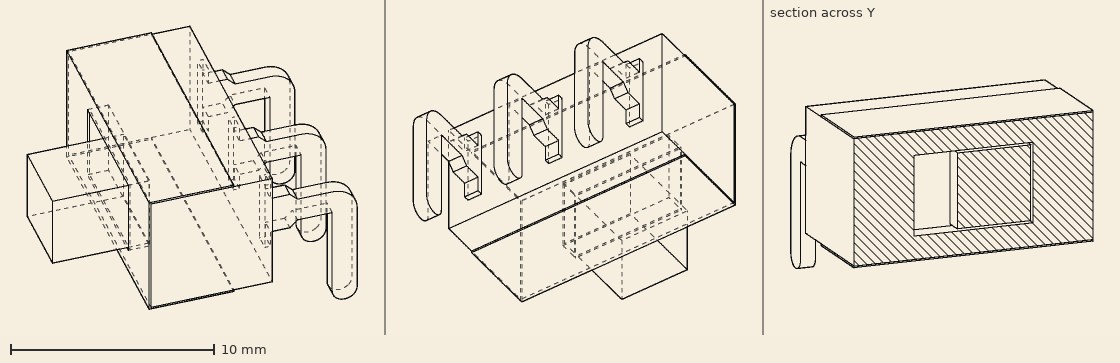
import cadquery as cq


cover_length = 12.7
cover_height = 6.7
cover_depth = 4.4
cover_thickness = 0.1

base_height = cover_height - 2 * cover_thickness
base_depth = 6.3
base_front = cover_thickness
base_back = base_front + base_depth

slider_side = 3.9
slider_protrusion = 3.9
slider_clearance = 0.1

slot_length = 6.3
slot_height = slider_side + 2 * slider_clearance
slot_depth_in_base = 1.0
slot_floor = base_front + slot_depth_in_base
slider_center_x = slot_length / 2 - slider_clearance - slider_side / 2

terminal_count = 3
terminal_pitch = 4.8
terminal_width = 0.8
shoulder_height = slider_side
shoulder_depth = 0.3
neck_height = 2.1
neck_depth = 1.0
leg_thickness = 1.3
taper_depth = (neck_height - leg_thickness) / 2
terminal_reach = 4.8
leg_drop = 2.9

shoulder_back = base_back + shoulder_depth
neck_back = shoulder_back + neck_depth
taper_back = neck_back + taper_depth
leg_outer = base_back + terminal_reach
leg_inner = leg_outer - leg_thickness
leg_bottom = -cover_height / 2 - leg_drop
leg_end_radius = leg_thickness / 2


def block(length, height, front, back, center_x=0):
    """Box centred on Z = 0 that runs from front to back along Y."""
    return (
        cq.Workplane("XY")
        .box(length, back - front, height)
        .translate((center_x, (front + back) / 2, 0))
    )


def make_cover():
    sheet = block(cover_length, cover_height, 0, cover_depth)
    base_space = block(cover_length, base_height, base_front, cover_depth)
    opening = block(slot_length, slot_height, 0, base_front)
    return sheet.cut(base_space).cut(opening)


def make_base_with_slider():
    base = block(cover_length, base_height, base_front, base_back)
    slot = block(slot_length, slot_height, base_front, slot_floor)
    slider = block(slider_side, slider_side, -slider_protrusion, slot_floor, slider_center_x)
    return base.cut(slot).union(slider)


def make_terminal(center_x):
    half_shoulder = shoulder_height / 2
    half_neck = neck_height / 2
    half_leg = leg_thickness / 2
    leg_end_center = leg_bottom + leg_end_radius
    bend_radius = leg_thickness
    profile = (
        cq.Workplane("YZ")
        .moveTo(base_back, half_shoulder)
        .lineTo(shoulder_back, half_shoulder)
        .lineTo(shoulder_back, half_neck)
        .lineTo(neck_back, half_neck)
        .lineTo(taper_back, half_leg)
        .lineTo(leg_inner, half_leg)
        .radiusArc((leg_outer, half_leg - bend_radius), bend_radius)
        .lineTo(leg_outer, leg_end_center)
        .threePointArc((leg_outer - leg_end_radius, leg_bottom), (leg_inner, leg_end_center))
        .lineTo(leg_inner, -half_leg)
        .lineTo(taper_back, -half_leg)
        .lineTo(neck_back, -half_neck)
        .lineTo(shoulder_back, -half_neck)
        .lineTo(shoulder_back, -half_shoulder)
        .lineTo(base_back, -half_shoulder)
        .close()
    )
    return profile.extrude(terminal_width / 2, both=True).translate((center_x, 0, 0))


cover = make_cover()
base_with_slider = make_base_with_slider()
terminals = [
    make_terminal((index - (terminal_count - 1) / 2) * terminal_pitch)
    for index in range(terminal_count)
]

result = cq.Compound.makeCompound(
    [cover.val(), base_with_slider.val(), *[terminal.val() for terminal in terminals]]
)